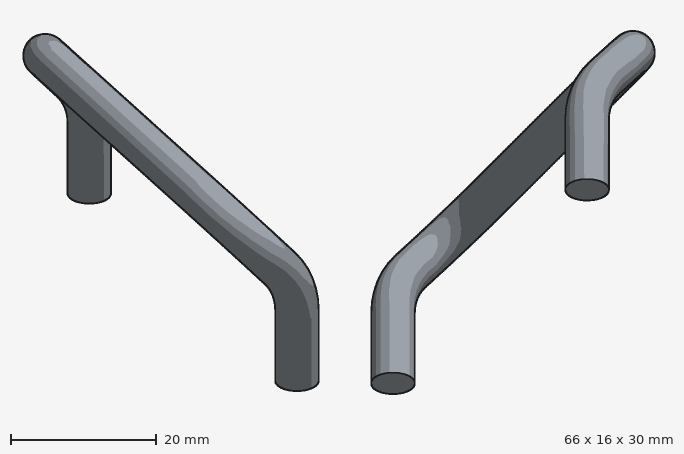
import cadquery as cq
import math

overall_length = 66.0
overall_height = 30.0
rod_diameter = 6.0
bar_offset = 9.95
tilt_angle = 40.0
leg_length = 11.0
corner_radius = 9.0

leg_x = (overall_length - rod_diameter) / 2
bar_z = overall_height - rod_diameter / 2
tilt = math.radians(tilt_angle)

elbow_z = bar_z - bar_offset / math.tan(tilt)
tilt_radius = (elbow_z - leg_length) / math.tan(tilt / 2)


def tilted_point(x, distance_below_bar):
    """Point in the tilted plane, measured down its slope from the grip bar."""
    return cq.Vector(
        x,
        -bar_offset + distance_below_bar * math.sin(tilt),
        bar_z - distance_below_bar * math.cos(tilt),
    )


def leg_bend_point(angle):
    """Point on the right-hand leg bend after turning by the given angle."""
    return cq.Vector(
        leg_x,
        -tilt_radius * (1 - math.cos(angle)),
        leg_length + tilt_radius * math.sin(angle),
    )


def mirrored(point):
    """Matching point on the left-hand side."""
    return cq.Vector(-point.x, point.y, point.z)


def rod_path():
    """Centreline from the right foot over the grip bar to the left foot."""
    foot = cq.Vector(leg_x, 0, 0)
    bend_start = leg_bend_point(0)
    bend_middle = leg_bend_point(tilt / 2)
    bend_end = leg_bend_point(tilt)
    corner_start = tilted_point(leg_x, corner_radius)
    corner_inset = corner_radius * (1 - math.sqrt(0.5))
    corner_middle = tilted_point(leg_x - corner_inset, corner_inset)
    corner_end = tilted_point(leg_x - corner_radius, 0)

    right_edges = [
        cq.Edge.makeLine(foot, bend_start),
        cq.Edge.makeThreePointArc(bend_start, bend_middle, bend_end),
        cq.Edge.makeLine(bend_end, corner_start),
        cq.Edge.makeThreePointArc(corner_start, corner_middle, corner_end),
    ]
    grip_bar = cq.Edge.makeLine(corner_end, mirrored(corner_end))
    left_edges = [
        cq.Edge.makeThreePointArc(mirrored(corner_end), mirrored(corner_middle), mirrored(corner_start)),
        cq.Edge.makeLine(mirrored(corner_start), mirrored(bend_end)),
        cq.Edge.makeThreePointArc(mirrored(bend_end), mirrored(bend_middle), mirrored(bend_start)),
        cq.Edge.makeLine(mirrored(bend_start), mirrored(foot)),
    ]
    return cq.Wire.assembleEdges(right_edges + [grip_bar] + left_edges)


foot_circle = cq.Workplane("XY").center(leg_x, 0).circle(rod_diameter / 2)
result = foot_circle.sweep(cq.Workplane(obj=rod_path()))